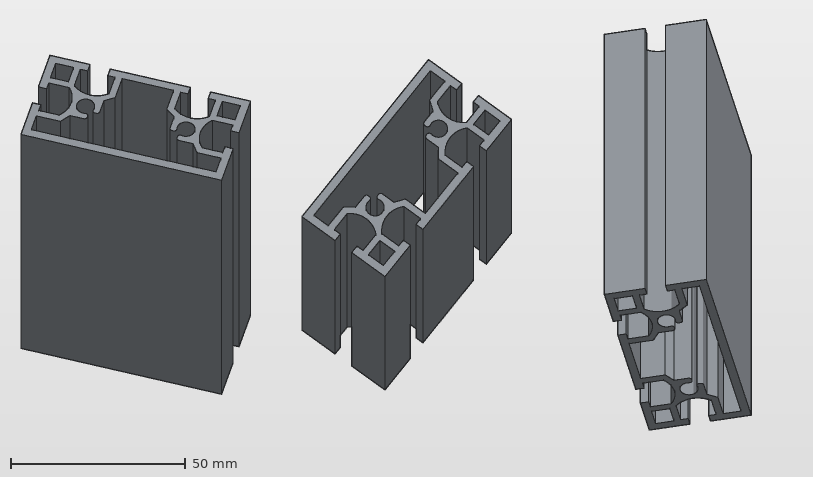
import cadquery as cq
import math

width = 60.0
depth = 30.0
length = 100.0
wall = 2.4
back_wall_thickness = 2.5

slot_pitch = 30.0
mouth_width = 6.0
lip_thickness = 2.5
slot_width = 10.4
slot_side_end = 8.6
slot_depth = 10.7
web = 2.1
pocket_size = 5.4

channel_radius = 2.6
core_reach = 4.5
tip_reach = 1.6
tip_radius = 0.8
flare_end = 5.4
flare_start = 3.4

half_slot = slot_width / 2
half_mouth = mouth_width / 2
web_reach = half_slot + web
half_depth = depth / 2
axis_x = -slot_pitch / 2


def box(x_min, x_max, y_min, y_max):
    """Full-length block between the given X and Y limits."""
    block = cq.Workplane("XY").box(x_max - x_min, y_max - y_min, length, centered=False)
    return block.translate((x_min, y_min, 0))


def slot():
    """T-slot opening toward +Y, with the channel axis at the origin."""
    lip_y = half_depth - lip_thickness
    side_end_y = half_depth - slot_side_end
    return (
        cq.Workplane("XY")
        .moveTo(-half_mouth, half_depth)
        .lineTo(-half_mouth, lip_y)
        .lineTo(-half_slot, lip_y)
        .lineTo(-half_slot, side_end_y)
        .threePointArc((0, half_depth - slot_depth), (half_slot, side_end_y))
        .lineTo(half_slot, lip_y)
        .lineTo(half_mouth, lip_y)
        .lineTo(half_mouth, half_depth)
        .close()
        .extrude(length)
    )


def core():
    """Corner block of the -X side with its lips, before the slots are cut."""
    points = [
        (-half_depth, half_depth),
        (web_reach, half_depth),
        (web_reach, flare_end),
        (core_reach, flare_start),
        (core_reach, -tip_reach),
        (tip_reach, -tip_reach),
        (tip_reach, -core_reach),
        (-flare_start, -core_reach),
        (-flare_end, -web_reach),
        (-half_depth, -web_reach),
    ]
    block = cq.Workplane("XY").polyline(points).close().extrude(length)
    channel = cq.Workplane("XY").circle(channel_radius).extrude(length)
    block = block.cut(channel)
    inner = math.sqrt(channel_radius**2 - tip_reach**2)
    for x, y in [
        (core_reach, -tip_reach),
        (inner, -tip_reach),
        (tip_reach, -core_reach),
        (tip_reach, -inner),
    ]:
        corner = cq.selectors.NearestToPointSelector((x, y, length / 2))
        block = block.edges("|Z").edges(corner).fillet(tip_radius)
    return block


def corner_unit():
    """Finished core of the -X side with both slots and the square hollow."""
    side_slot = slot().rotate((0, 0, 0), (0, 0, 1), 90)
    pocket_x = -half_depth + wall
    pocket_y = half_depth - wall
    pocket = box(pocket_x, pocket_x + pocket_size, pocket_y - pocket_size, pocket_y)
    unit = core().cut(slot()).cut(side_slot).cut(pocket)
    return unit.translate((axis_x, 0, 0))


back_wall = box(-width / 2, 0, -half_depth, -half_depth + back_wall_thickness)
side_wall = box(-width / 2, -width / 2 + wall, -half_depth, -half_mouth)
front_wall = box(axis_x + half_slot, 0, half_depth - wall, half_depth)

half = corner_unit().union(back_wall).union(side_wall).union(front_wall)
result = half.union(half.mirror("YZ"))